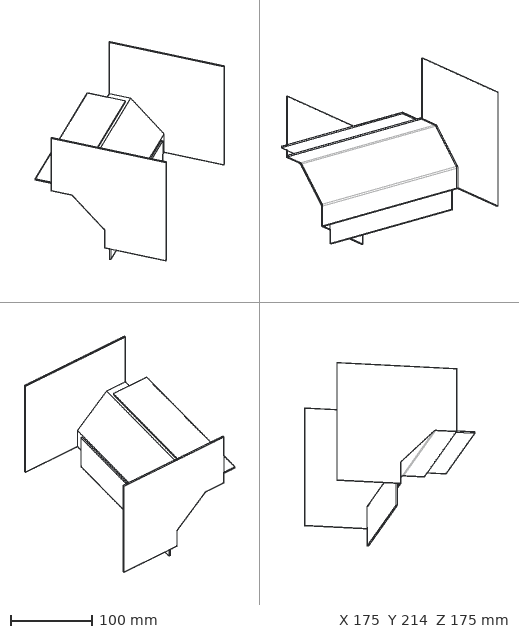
import cadquery as cq
import math

sheet = 2.0
width = 214.0
plate_side = 150.0
leg_depth = 80.0
flat_length = 27.4
bend_radius = 3.0
tab_overhang = 25.0
tab_length = 2 * tab_overhang
tab_width = 190.0

inner = plate_side - leg_depth
plate_y = width / 2 - sheet
bend_shift = sheet * math.tan(math.radians(45 / 2))


def extrude_along_y(points, y_start, length):
    """Extrude an XZ outline from y_start toward +Y."""
    return cq.Workplane("XZ", origin=(0, y_start, 0)).polyline(points).close().extrude(-length)


outer_edge = [
    (0, inner),
    (flat_length, inner),
    (inner, flat_length),
    (inner, 0),
]

inner_edge = [
    (inner + sheet, 0),
    (inner + sheet, flat_length + bend_shift),
    (flat_length + bend_shift, inner + sheet),
    (0, inner + sheet),
]


def round_bends(body):
    """Round the two outer edges where the slope meets the flats."""
    for x, z in (outer_edge[1], outer_edge[2]):
        bend = cq.selectors.NearestToPointSelector((x, body.val().Center().y, z))
        body = body.edges(bend).fillet(bend_radius)
    return body


def make_side_plate(y_start):
    """Square plate with its lower left corner cut along the bend."""
    corners = [(plate_side, 0), (plate_side, plate_side), (0, plate_side)]
    return round_bends(extrude_along_y(outer_edge + corners, y_start, sheet))


def make_web():
    """Bent sheet joining the side plates."""
    return round_bends(extrude_along_y(outer_edge + inner_edge, -plate_y, 2 * plate_y))


def make_tab(x_size, z_size, x_start, z_start):
    """Flat joining tab, centred across the width."""
    blank = cq.Workplane("XY").box(x_size, tab_width, z_size, centered=(False, True, False))
    return blank.translate((x_start, 0, z_start))


side_plates = [make_side_plate(y_start) for y_start in (-width / 2, plate_y)]
web = make_web()

tab_level = inner + sheet
tabs = [
    make_tab(tab_length, sheet, -tab_overhang, tab_level),
    make_tab(sheet, tab_length, tab_level, -tab_overhang),
]

result = cq.Compound.makeCompound([body.val() for body in [*side_plates, web, *tabs]])